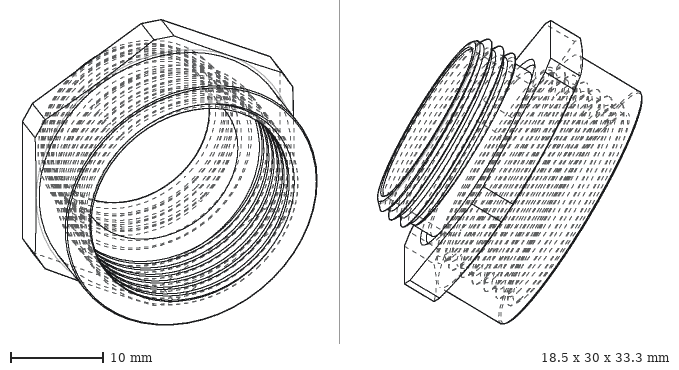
import cadquery as cq
import math

total_length = 18.5
flange_start = 6.5
flange_end = 10.6
spigot_thread_end = 4.55
socket_start = 8.65

across_flats = 30.0
across_corners = 33.3
flange_bevel_length = 0.3

body_diameter = 29.35
neck_diameter = 20.7
bore_diameter = 18.5
body_edge_chamfer = 0.15
bore_edge_chamfer = 0.15
neck_edge_chamfer = 0.25

recess_diameter = 23.4
recess_depth = 0.45

pitch = 1.5
flank_angle = 30.0
crest_width = 0.05
spigot_thread_diameter = 22.32
spigot_thread_offset = 0.25
socket_minor_diameter = 23.4
socket_major_diameter = 25.0
socket_thread_offset = 0.1
profile_overlap = 0.13


def along_x(shape):
    """Turn a shape built around Z so that its axis lies on X."""
    return shape.rotate((0, 0, 0), (0, 1, 0), 90)


def revolve_about_x(points):
    """Revolve an outline of (x, radius) points around X."""
    return cq.Workplane("XY").polyline(points).close().revolve(360, (0, 0, 0), (1, 0, 0))


def cylinder(start, end, diameter):
    return cq.Workplane("YZ", origin=(start, 0, 0)).circle(diameter / 2).extrude(end - start)


def hexagon(flat_distance, turn):
    """Hexagonal prism as thick as the flange; unturned, its flats face +Y and -Y."""
    corner_distance = flat_distance / math.cos(math.radians(30))
    prism = cq.Workplane("YZ", origin=(flange_start, 0, 0)).polygon(6, corner_distance)
    prism = prism.extrude(flange_end - flange_start)
    return prism.rotate((0, 0, 0), (1, 0, 0), 30 + turn)


def thread_ridge(root_diameter, crest_diameter, start, end):
    """Right-handed helical ridge, starting on the -Z side of the X axis."""
    root_radius = root_diameter / 2
    crest_radius = crest_diameter / 2
    inner_radius = root_radius - profile_overlap
    slope = math.tan(math.radians(flank_angle))
    half_crest = crest_width / 2
    half_root = half_crest + (crest_radius - inner_radius) * slope
    path = cq.Wire.makeHelix(pitch, end - start, root_radius)
    profile = cq.Workplane("XZ").polyline(
        [
            (inner_radius, -half_root),
            (crest_radius, -half_crest),
            (crest_radius, half_crest),
            (inner_radius, half_root),
        ]
    ).close()
    ridge = profile.sweep(cq.Workplane(obj=path), isFrenet=True)
    return along_x(ridge.translate((0, 0, start)))


def make_flange():
    flange = hexagon(across_flats, 0).intersect(hexagon(across_corners, 30))
    flat_radius = across_flats / 2
    corner_radius = across_corners / 2
    bevel_slope = (corner_radius - flat_radius) / flange_bevel_length
    cone_radius = flat_radius + bevel_slope * (flange_end - flange_start)
    envelope = revolve_about_x(
        [(flange_start, 0), (flange_start, cone_radius), (flange_end, flat_radius), (flange_end, 0)]
    )
    return flange.intersect(envelope)


def make_recess():
    """Ring-shaped pocket in the flange face around the neck."""
    outer = recess_diameter / 2
    neck = neck_diameter / 2
    floor = flange_start + recess_depth
    return revolve_about_x(
        [(flange_start, neck), (flange_start, outer), (floor, outer - recess_depth), (floor, neck)]
    )


def make_spigot_thread():
    """External thread, bevelled at the free end and cut square at the neck."""
    start = spigot_thread_offset - pitch
    ridge = thread_ridge(neck_diameter, spigot_thread_diameter, start, spigot_thread_end + pitch)
    tip_radius = neck_diameter / 2 - neck_edge_chamfer
    limit_radius = spigot_thread_diameter / 2 + profile_overlap
    envelope = revolve_about_x(
        [
            (0, 0),
            (0, tip_radius),
            (limit_radius - tip_radius, limit_radius),
            (spigot_thread_end, limit_radius),
            (spigot_thread_end, 0),
        ]
    )
    return ridge.intersect(envelope)


def make_socket_thread():
    """Helical groove of the internal thread, kept within the socket length."""
    start = socket_start + socket_thread_offset - pitch
    groove = thread_ridge(socket_minor_diameter, socket_major_diameter, start, total_length + pitch)
    limit_diameter = socket_major_diameter + 2 * profile_overlap
    return groove.intersect(cylinder(socket_start, total_length, limit_diameter))


neck = cylinder(0, flange_end, neck_diameter).faces("<X").chamfer(neck_edge_chamfer)
body = cylinder(flange_start, total_length, body_diameter).faces(">X").chamfer(body_edge_chamfer)

result = make_flange().union(body).cut(make_recess()).union(neck).union(make_spigot_thread())
result = result.cut(cylinder(0, total_length, bore_diameter))
result = result.cut(cylinder(socket_start, total_length, socket_minor_diameter))
result = result.cut(make_socket_thread())

bore_radius = bore_diameter / 2
bore_bevel = revolve_about_x(
    [(0, 0), (0, bore_radius + bore_edge_chamfer), (bore_edge_chamfer, bore_radius), (bore_edge_chamfer, 0)]
)
result = result.cut(bore_bevel)